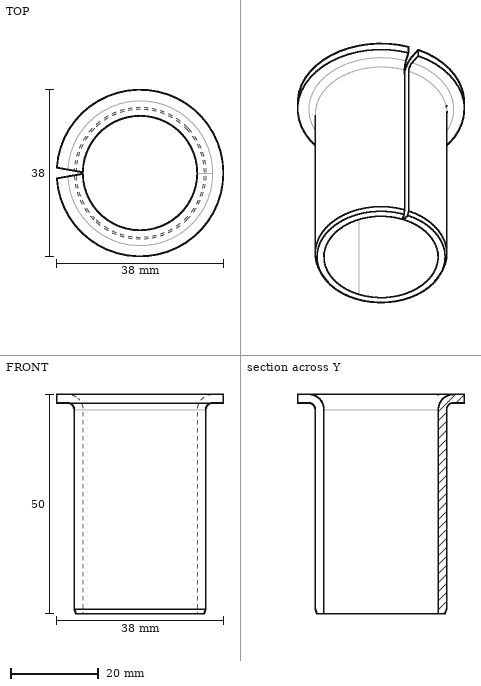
import cadquery as cq
import math

height = 50.0
wall = 2.0
bore_radius = 13.0
flange_radius = 19.0
inner_bend = 3.5
outer_bend = inner_bend - wall
lead_in_height = 1.1
lead_in_angle = 20.0
split_half_angle = 10.0
split_half_gap = 0.15

tube_radius = bore_radius + wall
flange_bottom = height - wall
lead_in_depth = lead_in_height * math.tan(math.radians(lead_in_angle))
bend_radius_from_axis = bore_radius + inner_bend
bend_height = height - inner_bend
diagonal = math.sqrt(0.5)


def bend_midpoint(radius):
    """Middle of a quarter bend about the shared bend center."""
    return (bend_radius_from_axis - radius * diagonal, bend_height + radius * diagonal)


def make_sleeve():
    """Revolve the wall section, with a flange and a chamfered lead-in."""
    return (
        cq.Workplane("XZ")
        .moveTo(bore_radius, 0)
        .lineTo(tube_radius - lead_in_depth, 0)
        .lineTo(tube_radius, lead_in_height)
        .lineTo(tube_radius, bend_height)
        .threePointArc(bend_midpoint(outer_bend), (bend_radius_from_axis, flange_bottom))
        .lineTo(flange_radius, flange_bottom)
        .lineTo(flange_radius, height)
        .lineTo(bend_radius_from_axis, height)
        .threePointArc(bend_midpoint(inner_bend), (bore_radius, bend_height))
        .close()
        .revolve(360, (0, 0), (0, 1))
    )


def make_split():
    """Wedge through the -X wall, widening outward over the full height."""
    slope = math.tan(math.radians(split_half_angle))
    apex = bore_radius - split_half_gap / slope
    reach = flange_radius + wall
    half_width = (reach - apex) * slope
    outline = [(-apex, 0), (-reach, half_width), (-reach, -half_width)]
    return cq.Workplane("XY").polyline(outline).close().extrude(height)


result = make_sleeve().cut(make_split())